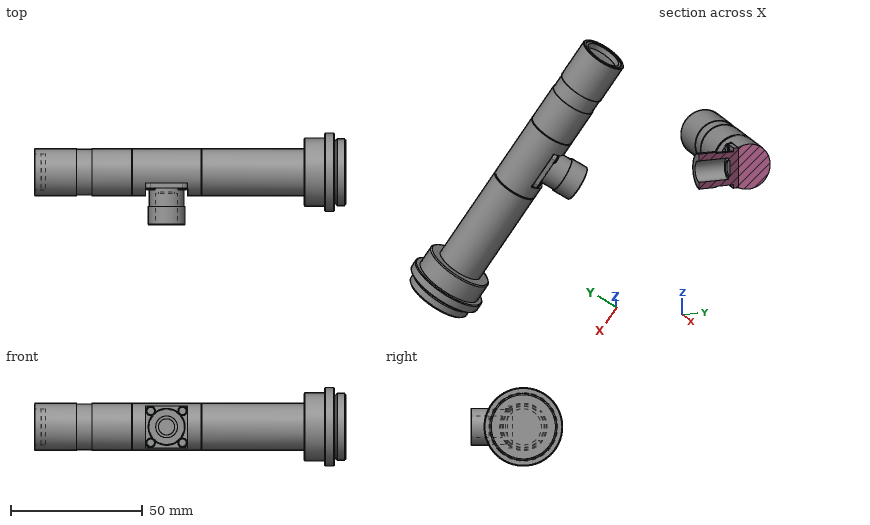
import cadquery as cq
length = 118.5
tube_radius = 9.0

eyepiece_rim_chamfer = 0.2
grip_start = 16.0
grip_end = 21.9
grip_radius = 8.8

middle_start = 37.2
middle_end = 63.3
joint_chamfer = 0.4

collar_start = 102.5
collar_radius = 13.0
collar_chamfer = 0.5

flange_start = 110.4
flange_end = 114.1
flange_diameter = 30.0
flange_radius = flange_diameter / 2
flange_chamfer = 0.4

neck_radius = 12.2
nose_start = 114.7
nose_radius = 12.8
nose_chamfer = nose_radius - neck_radius

dish_radius = 8.0
dish_depth = 0.2
dish_wall_angle = 45.0
cup_radius = 6.9
cup_depth = 2.4
lens_thickness = 1.8
lens_hollow = 0.2

post_x = (middle_start + middle_end) / 2
post_end_y = -20.0
seat_y = -4.1
plate_size = 16.0
plate_thickness = 1.9
plate_face_y = seat_y - plate_thickness

stem_radius = 6.6
head_start_y = -13.0
head_diameter = 14.1
head_radius = head_diameter / 2
head_chamfer = 0.2

bore_radius = 4.1
bore_depth = 11.8
pilot_radius = 3.1
pilot_depth = 0.6

screw_offset = 6.0
screw_radius = 1.8
screw_height = 0.7
screw_chamfer = 0.4
plate_corner_radius = plate_size / 2 - screw_offset


def disc_along_x(start, end, radius):
    return cq.Workplane("YZ", origin=(start, 0, 0)).circle(radius).extrude(end - start)


def disc_toward_minus_y(start, end, radius, x=post_x, z=0.0):
    return cq.Workplane("XZ", origin=(x, start, z)).circle(radius).extrude(start - end)


def make_tube():
    """Plain tube with a turned-down grip and a chamfered joint at each end of its middle section."""
    eyepiece_section = disc_along_x(0, middle_start, tube_radius)
    eyepiece_section = eyepiece_section.faces("<X").chamfer(eyepiece_rim_chamfer)
    eyepiece_section = eyepiece_section.faces(">X").chamfer(joint_chamfer)
    middle_section = disc_along_x(middle_start, middle_end, tube_radius)
    objective_section = disc_along_x(middle_end, collar_start, tube_radius)
    objective_section = objective_section.faces("<X").chamfer(joint_chamfer)
    tube = eyepiece_section.union(middle_section).union(objective_section)

    grip_sleeve = disc_along_x(grip_start, grip_end, tube_radius)
    grip_sleeve = grip_sleeve.cut(disc_along_x(grip_start, grip_end, grip_radius))
    return tube.cut(grip_sleeve)


def make_housing():
    body = make_tube()

    collar = disc_along_x(collar_start, flange_start, collar_radius)
    body = body.union(collar.faces("<X").chamfer(collar_chamfer))
    flange = disc_along_x(flange_start, flange_end, flange_radius)
    body = body.union(flange.edges().chamfer(flange_chamfer))
    body = body.union(disc_along_x(flange_end, nose_start, neck_radius))
    nose = disc_along_x(nose_start, length, nose_radius)
    body = body.union(nose.edges().chamfer(nose_chamfer))

    dish = cq.Workplane("YZ").circle(dish_radius).extrude(dish_depth, taper=dish_wall_angle)
    body = body.cut(dish)
    body = body.cut(disc_along_x(0, cup_depth + lens_thickness, cup_radius))

    seat_depth = tube_radius + seat_y
    seat_cut = cq.Workplane("XY", origin=(post_x, -tube_radius, 0))
    seat_cut = seat_cut.box(plate_size, seat_depth, 2 * tube_radius, centered=(True, False, True))
    return body.cut(seat_cut)


def make_lens():
    """Lens at the bottom of the eyepiece recess, with a shallow hollow front."""
    front = cup_depth
    back = cup_depth + lens_thickness
    halfway_depth = lens_hollow * 3 / 4
    profile = (
        cq.Workplane("XY")
        .moveTo(front + lens_hollow, 0)
        .threePointArc((front + halfway_depth, cup_radius / 2), (front, cup_radius))
        .lineTo(back, cup_radius)
        .lineTo(back, 0)
        .close()
    )
    return profile.revolve(360, (0, 0, 0), (1, 0, 0))


def make_light_post():
    plate = (
        cq.Workplane("XZ", origin=(post_x, seat_y, 0))
        .rect(plate_size, plate_size)
        .extrude(plate_thickness)
        .edges("|Y")
        .fillet(plate_corner_radius)
    )
    stem = disc_toward_minus_y(plate_face_y, head_start_y, stem_radius)
    head = disc_toward_minus_y(head_start_y, post_end_y, head_radius)
    head = head.faces("<Y").chamfer(head_chamfer)
    post = plate.union(stem).union(head)

    for x_side in (-1, 1):
        for z_side in (-1, 1):
            screw = disc_toward_minus_y(
                plate_face_y,
                plate_face_y - screw_height,
                screw_radius,
                x=post_x + x_side * screw_offset,
                z=z_side * screw_offset,
            )
            post = post.union(screw.faces("<Y").chamfer(screw_chamfer))

    bore_floor_y = post_end_y + bore_depth
    bore = disc_toward_minus_y(bore_floor_y, post_end_y, bore_radius)
    pilot = disc_toward_minus_y(bore_floor_y + pilot_depth, bore_floor_y, pilot_radius)
    return post.cut(bore).cut(pilot)


housing = make_housing()
lens = make_lens()
light_post = make_light_post()
result = cq.Compound.makeCompound([housing.val(), lens.val(), light_post.val()])